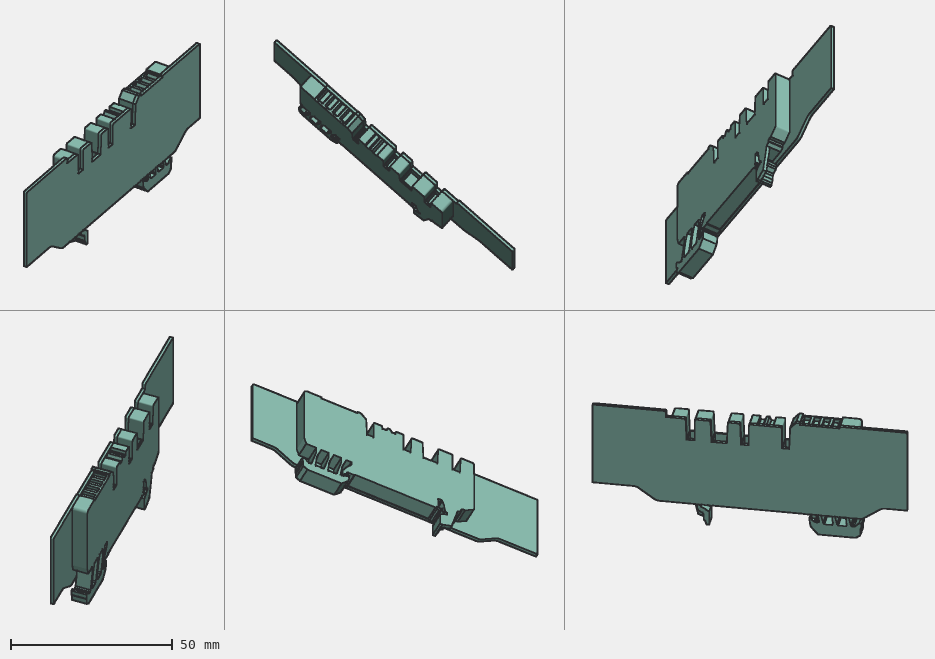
import cadquery as cq


HOUSING_DEPTH = 5.0
PLATE_THICKNESS = 1.1
LATCH_THICKNESS = 1.2
RIM_THICKNESS = 0.6
WELL_INSET = 0.2
BAR_START = 1.2

TOP = 39.7
TOOTH_TOP = 37.6
NOTCH_FLOOR = 30.2
BAR_TOP = 25.2
BAR_HEIGHT = 2.0
HOUSING_BOTTOM = 7.2
LIP_BOTTOM = 6.8
PLATE_BOTTOM = 7.5
PLATE_END_BOTTOM = 12.0
LEG_TOP = 12.9
HOUSING_CORNER = 14.2
LATCH_ROOT = 10.1
FOOT_FLOOR = 3.9

PLATE_HALF_LENGTH = 49.5
HOUSING_LEFT = 34.3
HOUSING_RIGHT = -24.8
PLATE_STEP = -26.3
SHOULDER_END = 14.6

NOTCHES = [
    (12.4, 10.1, 0.3, 0.0),
    (-0.3, -2.8, 0.0, 0.3),
    (-7.2, -12.1, 0.3, 0.3),
    (-17.3, -19.9, 0.0, 0.3),
]
TOOTH_FILLET = 0.5
END_TOOTH_FILLET = 0.9
HOUSING_FILLET = 1.2
LOWER_FILLET = 1.0
PLATE_FILLET = 0.5
CORNER_REACH = 0.05

RECESS_LEFT = 28.2
RECESS_RIGHT = 15.7
RECESS_DEPTH = 0.6
POCKET_COUNT = 4
POCKET_LENGTH = 2.1
POCKET_PITCH = 3.1
POCKET_DEPTH = 1.2
POCKET_WALL = 0.8
POCKET_SLOPE = 0.5
FIRST_POCKET_LEFT = 27.6

GROOVE_CENTRE = 4.8
GROOVE_OUTER = 2.5
GROOVE_INNER = 0.4
GROOVE_DEPTH = 1.2
GROOVE_OUTER_SLOPE = 0.2
GROOVE_INNER_SLOPE = 0.6

LEG_COUNT = 3
LEG_PITCH = 4.4

PLATE_LOW_LEFT = 35.3
PLATE_LOW_RIGHT = -29.3
PLATE_SLOPE_RUN = 6.3
PLATE_BEND_RADIUS = 3.0


def prism(points, start, thickness):
    """Extrude a closed (Y, Z) outline along X."""
    return cq.Workplane("YZ", origin=(start, 0, 0)).polyline(points).close().extrude(thickness)


def fillet_at(solid, corners, radius):
    """Round the X-direction edges that pass through the given (Y, Z) corners."""
    for y, z in corners:
        low = (0, y - CORNER_REACH, z - CORNER_REACH)
        high = (HOUSING_DEPTH + PLATE_THICKNESS, y + CORNER_REACH, z + CORNER_REACH)
        solid = solid.edges("|X").edges(cq.selectors.BoxSelector(low, high)).fillet(radius)
    return solid


def notch_points(left, right, left_flare, right_flare):
    """Outline of one notch, from its +Y side to its -Y side."""
    return [
        (left + left_flare, TOOTH_TOP),
        (left, NOTCH_FLOOR),
        (right, NOTCH_FLOOR),
        (right - right_flare, TOOTH_TOP),
    ]


def toothed_edge():
    """Upper edge from the shoulder along the notches, running towards -Y."""
    points = [
        (RECESS_LEFT, TOP),
        (RECESS_LEFT, TOP - RECESS_DEPTH),
        (RECESS_RIGHT, TOP - RECESS_DEPTH),
        (RECESS_RIGHT, TOP),
        (SHOULDER_END, TOP),
    ]
    for notch in NOTCHES:
        points += notch_points(*notch)
    return points


def tooth_corners():
    """Upper corners of the teeth that follow the shoulder."""
    corners = []
    for left, right, left_flare, right_flare in NOTCHES:
        corners.append((left + left_flare, TOOTH_TOP))
        corners.append((right - right_flare, TOOTH_TOP))
    return corners[1:]


def make_plate():
    half = PLATE_HALF_LENGTH
    top_corners = [(half, TOP), (PLATE_STEP, TOP), (-half, TOP)]
    bends = [
        (PLATE_LOW_RIGHT - PLATE_SLOPE_RUN, PLATE_END_BOTTOM),
        (PLATE_LOW_RIGHT, PLATE_BOTTOM),
        (PLATE_LOW_LEFT, PLATE_BOTTOM),
        (PLATE_LOW_LEFT + PLATE_SLOPE_RUN, PLATE_END_BOTTOM),
    ]
    outline = (
        [(half, TOP)]
        + toothed_edge()
        + [(PLATE_STEP, TOOTH_TOP), (PLATE_STEP, TOP), (-half, TOP), (-half, PLATE_END_BOTTOM)]
        + bends
        + [(half, PLATE_END_BOTTOM)]
    )
    plate = prism(outline, HOUSING_DEPTH, PLATE_THICKNESS)
    plate = fillet_at(plate, top_corners, PLATE_FILLET)
    plate = fillet_at(plate, bends, PLATE_BEND_RADIUS)
    return fillet_at(plate, tooth_corners(), TOOTH_FILLET)


def make_core():
    """Main block of the housing, down to the top of the legs and the root of the latch."""
    lower_right = [
        (HOUSING_RIGHT, HOUSING_CORNER),
        (-21.7, PLATE_END_BOTTOM),
        (-20.7, PLATE_END_BOTTOM),
        (-20.3, 11.4),
        (-20.5, 10.8),
        (-19.2, LATCH_ROOT),
        (-14.4, LATCH_ROOT),
    ]
    latch_slot = [(-13.8, 12.0), (-13.4, 12.3), (-12.3, 12.3), (-12.3, 10.4), (-12.6, 8.6)]
    latch_lip = [
        (-12.0, 8.1),
        (-12.3, 7.8),
        (-13.4, 7.7),
        (-13.4, LIP_BOTTOM),
        (-12.7, 6.6),
        (-11.9, LIP_BOTTOM),
        (-11.4, HOUSING_BOTTOM),
    ]
    foot_lip = [(16.7, HOUSING_BOTTOM), (16.7, LIP_BOTTOM), (18.6, LIP_BOTTOM), (19.0, 7.1)]
    tongue = [(19.3, 6.8), (19.3, 5.6), (20.2, 5.6), (20.2, 5.0), (20.8, 5.0), (20.8, 7.0)]
    upper_left = [(20.2, 8.2), (17.8, 11.9), (17.8, LEG_TOP), (33.6, LEG_TOP), (HOUSING_LEFT, 15.4)]
    outline = (
        [(HOUSING_LEFT, TOP)]
        + toothed_edge()
        + [(HOUSING_RIGHT, TOOTH_TOP)]
        + lower_right
        + latch_slot
        + latch_lip
        + foot_lip
        + tongue
        + upper_left
    )
    core = prism(outline, 0, HOUSING_DEPTH)
    core = fillet_at(core, [(HOUSING_LEFT, TOP)], HOUSING_FILLET)
    core = fillet_at(core, [(HOUSING_RIGHT, HOUSING_CORNER)], LOWER_FILLET)
    core = fillet_at(core, [(HOUSING_RIGHT, TOOTH_TOP)], END_TOOTH_FILLET)
    return fillet_at(core, tooth_corners(), TOOTH_FILLET)


def make_latch():
    """Thin hook that hangs from the housing, with a wider pad that grips the rail."""
    grip = [(-15.5, 6.7), (-15.5, 6.1), (-14.6, 5.7), (-13.0, 4.7), (-13.0, 0), (-13.9, 0)]
    hook_root = [(-19.2, LATCH_ROOT), (-14.4, LATCH_ROOT), (-14.8, 7.3)]
    hook_back = [(-17.1, 1.3), (-18.6, 7.3)]
    pad_back = [
        (-14.1, 0.9),
        (-14.7, 1.8),
        (-14.7, 3.4),
        (-15.0, 4.1),
        (-16.4, 4.9),
        (-16.7, 5.5),
        (-16.7, 6.7),
    ]
    hook = prism(hook_root + grip + hook_back, 0, LATCH_THICKNESS)
    pad = prism(grip + pad_back, 0, HOUSING_DEPTH)
    return hook.union(pad)


def make_leg():
    """Spring leg nearest the +Y end, with a curved -Y side."""
    return (
        cq.Workplane("YZ")
        .moveTo(28.3, LEG_TOP)
        .lineTo(30.1, LEG_TOP)
        .lineTo(30.1, 10.6)
        .lineTo(31.6, 4.4)
        .lineTo(32.0, FOOT_FLOOR)
        .lineTo(30.1, FOOT_FLOOR)
        .lineTo(30.3, 4.4)
        .threePointArc((29.8, 8.2), (28.3, LEG_TOP))
        .close()
        .extrude(HOUSING_DEPTH)
    )


def make_foot():
    """Rail foot with its upturned ends, hung on slanted spring legs."""
    outline = [
        (34.8, 5.1),
        (34.3, 5.3),
        (33.1, 4.2),
        (32.6, FOOT_FLOOR),
        (22.2, FOOT_FLOOR),
        (21.4, 4.7),
        (21.1, 4.3),
        (20.5, 4.3),
        (19.3, 5.0),
        (19.2, 5.5),
        (18.5, 5.4),
        (18.7, 3.8),
        (19.0, 2.6),
        (21.3, 0),
        (33.2, 0),
        (34.6, 1.0),
        (34.6, 3.0),
        (34.8, 3.5),
    ]
    foot = prism(outline, 0, HOUSING_DEPTH)
    for index in range(LEG_COUNT):
        foot = foot.union(make_leg().translate((0, -index * LEG_PITCH, 0)))
    return foot


def marker_pockets():
    """Row of pockets in the recess, each with a sloped +Y side."""
    rim = TOP - RECESS_DEPTH
    floor = rim - POCKET_DEPTH
    pockets = []
    for index in range(POCKET_COUNT):
        left = FIRST_POCKET_LEFT - index * POCKET_PITCH
        right = left - POCKET_LENGTH
        outline = [(left, rim), (left - POCKET_SLOPE, floor), (right, floor), (right, rim)]
        pockets.append(prism(outline, POCKET_WALL, HOUSING_DEPTH - POCKET_WALL))
    return pockets


def tooth_grooves():
    floor = TOOTH_TOP - GROOVE_DEPTH
    grooves = []
    for side in (1, -1):
        outline = [
            (GROOVE_CENTRE + side * GROOVE_OUTER, TOOTH_TOP),
            (GROOVE_CENTRE + side * (GROOVE_OUTER - GROOVE_OUTER_SLOPE), floor),
            (GROOVE_CENTRE + side * (GROOVE_INNER + GROOVE_INNER_SLOPE), floor),
            (GROOVE_CENTRE + side * GROOVE_INNER, TOOTH_TOP),
        ]
        grooves.append(prism(outline, 0, HOUSING_DEPTH))
    return grooves


def notch_wells():
    """Wells that lead from the notch floors down to the bar, a little narrower than the notches."""
    wells = []
    for notch_left, notch_right, _, _ in NOTCHES:
        left = notch_left - WELL_INSET
        right = notch_right + WELL_INSET
        outline = [(left, NOTCH_FLOOR), (left, BAR_TOP), (right, BAR_TOP), (right, NOTCH_FLOOR)]
        wells.append(prism(outline, RIM_THICKNESS, HOUSING_DEPTH - RIM_THICKNESS))
    return wells


def make_bar():
    """Inner bar that closes the bottom of all the wells and lies against the plate."""
    left = NOTCHES[0][0]
    right = NOTCHES[-1][1]
    bottom = BAR_TOP - BAR_HEIGHT
    outline = [(left, BAR_TOP), (left, bottom), (right, bottom), (right, BAR_TOP)]
    return prism(outline, BAR_START, HOUSING_DEPTH - BAR_START)


def make_housing(bar):
    housing = make_core().union(make_foot()).union(make_latch())
    for cutter in marker_pockets() + tooth_grooves() + notch_wells():
        housing = housing.cut(cutter)
    return housing.cut(bar)


plate = make_plate()
bar = make_bar()
housing = make_housing(bar)

result = cq.Compound.makeCompound([housing.val(), plate.val(), bar.val()])